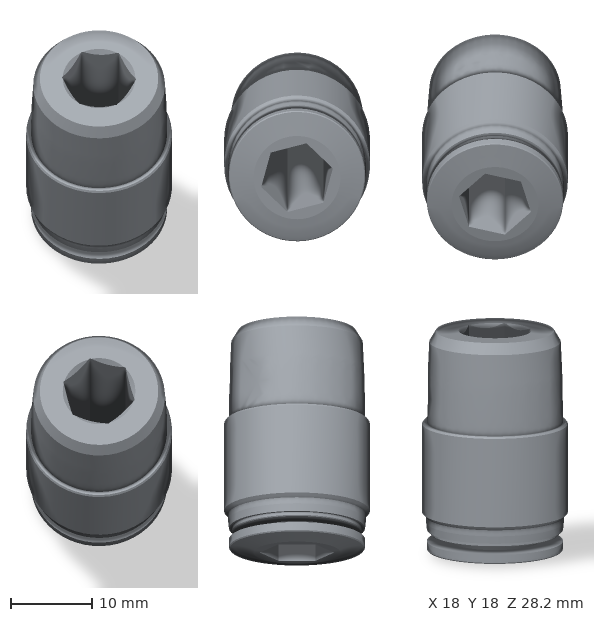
import cadquery as cq
import math

TOTAL_HEIGHT = 28.2
FOOT_CONE_TOP = 0.54
FOOT_CHAMFER_TOP = 0.68
FOOT_TOP = 1.7
NECK_CONE_TOP = 2.05
LIP_BOTTOM = 2.6
LIP_TOP = 3.1
BAND_TAPER_TOP = 4.05
SLEEVE_BOTTOM = 4.82
SLEEVE_CHAMFER_TOP = 5.3
SLEEVE_RIM_BOTTOM = 16.47
SLEEVE_TOP = 16.7
NOSE_SHOULDER = 26.85

FOOT_FACE_RADIUS = 5.35
FOOT_RADIUS = 16.8 / 2
FOOT_CHAMFER = 0.1
NECK_RADIUS = 10.9 / 2
NECK_BASE_RADIUS = 5.55
LIP_RADIUS = 16.0 / 2
LIP_CHAMFER = 0.1
BAND_RADIUS = 17.0 / 2
BAND_END_RADIUS = 16.8 / 2
SLEEVE_RADIUS = 18.0 / 2
SLEEVE_RIM_RADIUS = 8.83
NOSE_BASE_RADIUS = 16.8 / 2
NOSE_SHOULDER_RADIUS = 8.12
NOSE_FACE_RADIUS = 7.3

HEX_ACROSS_FLATS = 7.92
COUNTERSINK_RADIUS = 4.48


def nose_arc_middle():
    """Middle of the nose side arc, which starts parallel to the axis at the sleeve."""
    inset = NOSE_BASE_RADIUS - NOSE_SHOULDER_RADIUS
    height = NOSE_SHOULDER - SLEEVE_TOP
    arc_radius = (height**2 + inset**2) / (2 * inset)
    half_angle = math.asin(height / arc_radius) / 2
    radius = NOSE_BASE_RADIUS - arc_radius * (1 - math.cos(half_angle))
    return radius, SLEEVE_TOP + arc_radius * math.sin(half_angle)


def make_body():
    """Revolve the half section, from the foot up to the slightly barrelled nose."""
    profile = (
        cq.Workplane("XZ")
        .moveTo(0, 0)
        .lineTo(FOOT_FACE_RADIUS, 0)
        .lineTo(FOOT_RADIUS - FOOT_CHAMFER, FOOT_CONE_TOP)
        .lineTo(FOOT_RADIUS, FOOT_CHAMFER_TOP)
        .lineTo(FOOT_RADIUS, FOOT_TOP)
        .lineTo(NECK_BASE_RADIUS, FOOT_TOP)
        .lineTo(NECK_RADIUS, NECK_CONE_TOP)
        .lineTo(NECK_RADIUS, LIP_BOTTOM)
        .lineTo(LIP_RADIUS - LIP_CHAMFER, LIP_BOTTOM)
        .lineTo(LIP_RADIUS, LIP_BOTTOM + LIP_CHAMFER)
        .lineTo(LIP_RADIUS, LIP_TOP)
        .lineTo(BAND_END_RADIUS, LIP_TOP)
        .lineTo(BAND_RADIUS, BAND_TAPER_TOP)
        .lineTo(BAND_RADIUS, SLEEVE_BOTTOM)
        .lineTo(SLEEVE_RADIUS, SLEEVE_CHAMFER_TOP)
        .lineTo(SLEEVE_RADIUS, SLEEVE_RIM_BOTTOM)
        .lineTo(SLEEVE_RIM_RADIUS, SLEEVE_TOP)
        .lineTo(NOSE_BASE_RADIUS, SLEEVE_TOP)
        .threePointArc(nose_arc_middle(), (NOSE_SHOULDER_RADIUS, NOSE_SHOULDER))
        .lineTo(NOSE_FACE_RADIUS, TOTAL_HEIGHT)
        .lineTo(0, TOTAL_HEIGHT)
        .close()
    )
    return profile.revolve(360, (0, 0, 0), (0, 1, 0))


def make_socket():
    """Hexagonal through hole with corners on the Y axis and a 45 degree countersink."""
    corner_diameter = HEX_ACROSS_FLATS / math.cos(math.pi / 6)
    hexagon = (
        cq.Workplane("XY")
        .transformed(rotate=(0, 0, 90))
        .polygon(6, corner_diameter)
        .extrude(TOTAL_HEIGHT)
    )
    countersink = cq.Workplane(
        cq.Solid.makeCone(
            COUNTERSINK_RADIUS,
            0,
            COUNTERSINK_RADIUS,
            pnt=cq.Vector(0, 0, TOTAL_HEIGHT),
            dir=cq.Vector(0, 0, -1),
        )
    )
    return hexagon.union(countersink)


result = make_body().cut(make_socket())